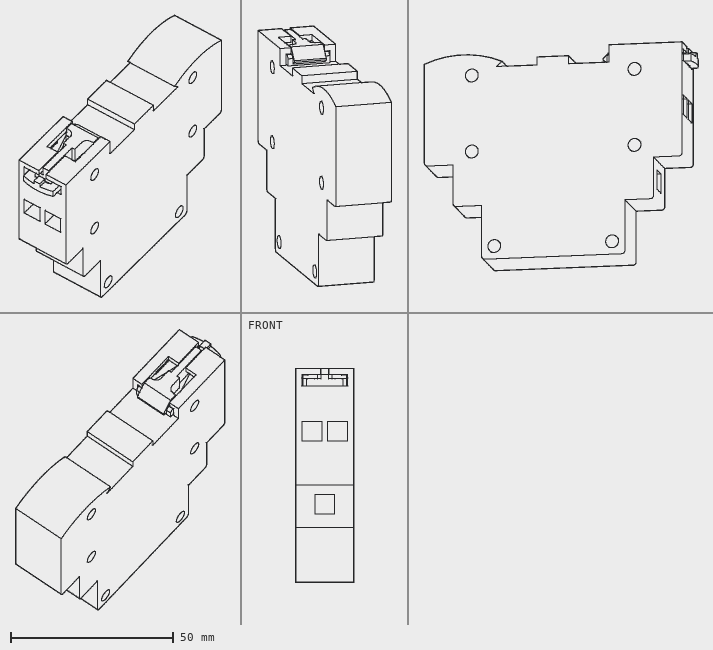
import cadquery as cq
import math


WIDTH = 18.0
DEPTH = 81.0
HEIGHT = 66.0
RAIL_Z = 60.5
HEAD_BACK_Y = 23.0
MIDDLE_INSET = 9.0
BOTTOM_INSET = 2 * MIDDLE_INSET
UPPER_TIER_Z = 30.05
MIDDLE_TIER_Z = 16.95
TIER_RADIUS = 1.0

RAIL_STOP_Y = (35.7, 45.6)
RAIL_STOP_Z = 63.05
CATCH_TIP_Y = 56.6
CATCH_ROOT_Y = 58.3
CATCH_Z = 62.1
DOME_TOP_Z = 64.6

HOLE_DIAMETER = 4.0
UPPER_HOLE_INSET = 14.95
LOWER_HOLE_INSET = 22.0
UPPER_HOLE_ZS = (58.0, 34.1)
LOWER_HOLE_Z = 4.0

POCKET_SIZE = 6.05
POCKET_DEPTH = 5.0
UPPER_POCKET_X = 3.95
UPPER_POCKET_Z = 46.6
LOWER_POCKET_Z = 24.1

CAVITY_WIDTH = 14.1
CAVITY_TOP_Z = 64.05
HEAD_SLOT_WIDTH = 10.8
HEAD_SLOT_FRONT_Y = 9.8
STEM_SLOT_WIDTH = 2.8

WING_WIDTH = 13.4
WING_BACK_Y = 24.1
WING_TOP_Z = 63.9
WING_RADIUS = 2.5
LATCH_HEAD_WIDTH = 10.3
LATCH_HEAD_FRONT_Y = 19.5
NOSE_TIP_Y = 25.6
NOSE_TIP_Z = (61.95, 62.5)
NOSE_ROOT_Z = 61.0
SHOULDER_WIDTH = 4.4
SHOULDER_FRONT_Y = 13.85
STEM_WIDTH = 2.3
PLATE_TOP_Z = 62.8
FLARE_Y = (15.4, 17.0)
WEDGE_TIP_Y = 4.7
WEDGE_WIDTH = 10.6
TAB_WIDTH = 11.3
TAB_SIDE_Y = -2.1
TAB_FRONT_Y = -2.9
RIB_TOP_Z = 64.05
TOOL_SLOT_Y = (-0.25, 1.8)
TOOL_SLOT_LENGTH = 6.4
STEM_FRONT_Y = TOOL_SLOT_Y[1]


def box(x_size, y_range, z_range, x_center=0):
    """Box centred on x_center that spans the given Y and Z ranges."""
    y_size = y_range[1] - y_range[0]
    z_size = z_range[1] - z_range[0]
    corner = (x_center - x_size / 2, y_range[0], z_range[0])
    return cq.Workplane("XY").box(x_size, y_size, z_size, centered=False).translate(corner)


def extrude_across(outline, width):
    """Extrude an outline of the YZ plane by the same amount to both sides of the mid plane."""
    return outline.extrude(width / 2, both=True)


def housing_blank():
    outline = (
        cq.Workplane("YZ")
        .moveTo(BOTTOM_INSET, 0)
        .lineTo(BOTTOM_INSET, MIDDLE_TIER_Z)
        .lineTo(MIDDLE_INSET, MIDDLE_TIER_Z)
        .lineTo(MIDDLE_INSET, UPPER_TIER_Z)
        .lineTo(0, UPPER_TIER_Z)
        .lineTo(0, HEIGHT)
        .lineTo(HEAD_BACK_Y, HEIGHT)
        .lineTo(HEAD_BACK_Y, RAIL_Z)
        .lineTo(RAIL_STOP_Y[0], RAIL_Z)
        .lineTo(RAIL_STOP_Y[0], RAIL_STOP_Z)
        .lineTo(RAIL_STOP_Y[1], RAIL_STOP_Z)
        .lineTo(RAIL_STOP_Y[1], RAIL_Z)
        .lineTo(CATCH_ROOT_Y, RAIL_Z)
        .lineTo(CATCH_TIP_Y, CATCH_Z)
        .threePointArc(((CATCH_TIP_Y + DEPTH) / 2, DOME_TOP_Z), (DEPTH, CATCH_Z))
        .lineTo(DEPTH, UPPER_TIER_Z)
        .lineTo(DEPTH - MIDDLE_INSET, UPPER_TIER_Z)
        .lineTo(DEPTH - MIDDLE_INSET, MIDDLE_TIER_Z)
        .lineTo(DEPTH - BOTTOM_INSET, MIDDLE_TIER_Z)
        .lineTo(DEPTH - BOTTOM_INSET, 0)
        .close()
    )
    return round_tier_corners(extrude_across(outline, WIDTH))


def round_tier_corners(blank):
    tiers = ((0, UPPER_TIER_Z), (MIDDLE_INSET, MIDDLE_TIER_Z), (BOTTOM_INSET, 0))
    for inset, z in tiers:
        for y in (inset, DEPTH - inset):
            corner = cq.selectors.NearestToPointSelector((0, y, z))
            blank = blank.edges("|X").edges(corner).fillet(TIER_RADIUS)
    return blank


def cross_holes():
    points = []
    for z in UPPER_HOLE_ZS:
        points += [(UPPER_HOLE_INSET, z), (DEPTH - UPPER_HOLE_INSET, z)]
    points += [(LOWER_HOLE_INSET, LOWER_HOLE_Z), (DEPTH - LOWER_HOLE_INSET, LOWER_HOLE_Z)]
    return extrude_across(cq.Workplane("YZ").pushPoints(points).circle(HOLE_DIAMETER / 2), WIDTH)


def terminal_pocket(x, front_y, z):
    z_range = (z - POCKET_SIZE / 2, z + POCKET_SIZE / 2)
    return box(POCKET_SIZE, (front_y, front_y + POCKET_DEPTH), z_range, x)


def latch_channel():
    cavity = box(CAVITY_WIDTH, (0, HEAD_BACK_Y), (RAIL_Z, CAVITY_TOP_Z))
    head_slot = box(HEAD_SLOT_WIDTH, (HEAD_SLOT_FRONT_Y, HEAD_BACK_Y), (RAIL_Z, HEIGHT))
    stem_slot = box(STEM_SLOT_WIDTH, (0, HEAD_BACK_Y), (RAIL_Z, HEIGHT))
    return cavity.union(head_slot).union(stem_slot)


def make_housing():
    body = housing_blank().cut(cross_holes()).cut(latch_channel())
    for x in (-UPPER_POCKET_X, UPPER_POCKET_X):
        body = body.cut(terminal_pocket(x, 0, UPPER_POCKET_Z))
    return body.cut(terminal_pocket(0, MIDDLE_INSET, LOWER_POCKET_Z))


def head_footprint():
    """Block as wide as the wings with rounded front corners, which head and wings share."""
    block = box(WING_WIDTH, (LATCH_HEAD_FRONT_Y, NOSE_TIP_Y), (RAIL_Z, HEIGHT))
    return block.edges("|Z and <Y").fillet(WING_RADIUS)


def latch_wings():
    """Upper layer on both sides of the head, with a sloping back edge above the plate."""
    thickness = WING_TOP_Z - PLATE_TOP_Z
    profile = (
        cq.Workplane("YZ")
        .moveTo(LATCH_HEAD_FRONT_Y, PLATE_TOP_Z)
        .lineTo(WING_BACK_Y, PLATE_TOP_Z)
        .lineTo(WING_BACK_Y - thickness, WING_TOP_Z)
        .lineTo(LATCH_HEAD_FRONT_Y, WING_TOP_Z)
        .close()
    )
    return extrude_across(profile, WING_WIDTH).intersect(head_footprint())


def latch_head():
    """Full-height block with the sloping nose that snaps over the rail."""
    slope_length = HEIGHT - NOSE_TIP_Z[1]
    profile = (
        cq.Workplane("YZ")
        .moveTo(LATCH_HEAD_FRONT_Y, RAIL_Z)
        .lineTo(WING_BACK_Y, RAIL_Z)
        .lineTo(WING_BACK_Y, NOSE_ROOT_Z)
        .lineTo(NOSE_TIP_Y, NOSE_TIP_Z[0])
        .lineTo(NOSE_TIP_Y, NOSE_TIP_Z[1])
        .lineTo(NOSE_TIP_Y - slope_length, HEIGHT)
        .lineTo(LATCH_HEAD_FRONT_Y, HEIGHT)
        .close()
    )
    return extrude_across(profile, LATCH_HEAD_WIDTH).intersect(head_footprint())


def latch_stem():
    """Shoulder that flares into the head, and the narrow stem in front of it."""
    half_shoulder = SHOULDER_WIDTH / 2
    flare_end = (WING_WIDTH / 2 - WING_RADIUS, LATCH_HEAD_FRONT_Y)
    flare_radius = flare_end[0] - half_shoulder
    diagonal = flare_radius * (1 - math.sqrt(0.5))
    arc_middle = (half_shoulder + diagonal, LATCH_HEAD_FRONT_Y - diagonal)
    shoulder = (
        cq.Workplane("XY", origin=(0, 0, RAIL_Z))
        .moveTo(0, SHOULDER_FRONT_Y)
        .lineTo(half_shoulder, SHOULDER_FRONT_Y)
        .lineTo(half_shoulder, LATCH_HEAD_FRONT_Y - flare_radius)
        .threePointArc(arc_middle, flare_end)
        .lineTo(0, LATCH_HEAD_FRONT_Y)
        .mirrorY()
        .extrude(HEIGHT - RAIL_Z)
    )
    return shoulder.union(box(STEM_WIDTH, (STEM_FRONT_Y, SHOULDER_FRONT_Y), (RAIL_Z, HEIGHT)))


def latch_plate():
    """Thin plate from the wings to the bowed front of the finger tab."""
    half_tab = TAB_WIDTH / 2
    half_wings = WING_WIDTH / 2
    return (
        cq.Workplane("XY", origin=(0, 0, RAIL_Z))
        .moveTo(-half_tab, TAB_SIDE_Y)
        .threePointArc((0, TAB_FRONT_Y), (half_tab, TAB_SIDE_Y))
        .lineTo(half_tab, FLARE_Y[0])
        .lineTo(half_wings, FLARE_Y[1])
        .lineTo(half_wings, WING_BACK_Y)
        .lineTo(-half_wings, WING_BACK_Y)
        .lineTo(-half_wings, FLARE_Y[1])
        .lineTo(-half_tab, FLARE_Y[0])
        .close()
        .extrude(PLATE_TOP_Z - RAIL_Z)
    )


def wedge_opening():
    """Opening through the plate that widens from the stem towards the latch head."""
    return (
        cq.Workplane("XY", origin=(0, 0, RAIL_Z))
        .moveTo(-STEM_WIDTH / 2, WEDGE_TIP_Y)
        .lineTo(STEM_WIDTH / 2, WEDGE_TIP_Y)
        .lineTo(WEDGE_WIDTH / 2, LATCH_HEAD_FRONT_Y)
        .lineTo(-WEDGE_WIDTH / 2, LATCH_HEAD_FRONT_Y)
        .close()
        .extrude(PLATE_TOP_Z - RAIL_Z)
    )


def tool_slot():
    """Slot across the tab, just in front of the stem."""
    slot_width = TOOL_SLOT_Y[1] - TOOL_SLOT_Y[0]
    middle_y = (TOOL_SLOT_Y[0] + TOOL_SLOT_Y[1]) / 2
    return (
        cq.Workplane("XY", origin=(0, middle_y, RAIL_Z))
        .slot2D(TOOL_SLOT_LENGTH, slot_width)
        .extrude(PLATE_TOP_Z - RAIL_Z)
    )


def tab_rib():
    """Raised rib on the tab, from the tool slot to the bowed front."""
    half_rib = STEM_WIDTH / 2
    half_tab = TAB_WIDTH / 2
    bow = TAB_SIDE_Y - TAB_FRONT_Y
    bow_radius = (half_tab**2 + bow**2) / (2 * bow)
    rib_side_y = TAB_FRONT_Y + bow_radius - math.sqrt(bow_radius**2 - half_rib**2)
    return (
        cq.Workplane("XY", origin=(0, 0, PLATE_TOP_Z))
        .moveTo(-half_rib, TOOL_SLOT_Y[0])
        .lineTo(-half_rib, rib_side_y)
        .threePointArc((0, TAB_FRONT_Y), (half_rib, rib_side_y))
        .lineTo(half_rib, TOOL_SLOT_Y[0])
        .close()
        .extrude(RIB_TOP_Z - PLATE_TOP_Z)
    )


def make_latch():
    body = latch_plate().cut(wedge_opening()).cut(tool_slot())
    for feature in (latch_head(), latch_wings(), latch_stem(), tab_rib()):
        body = body.union(feature)
    return body.clean()


housing = make_housing()
latch = make_latch()

result = cq.Compound.makeCompound([housing.solids().val(), latch.solids().val()])